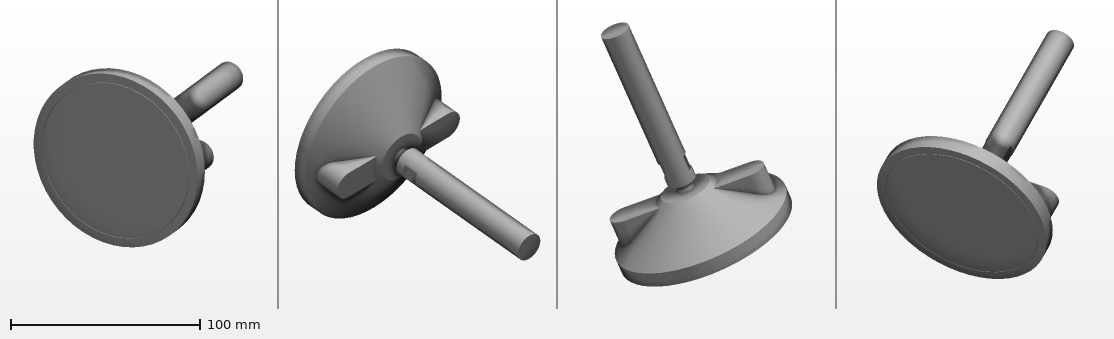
import cadquery as cq
import math


base_dia = 98.0
rim_height = 8.3
cone_top_dia = 28.1
cone_top_y = 30.0

groove_outer_dia = 88.0
groove_inner_dia = 87.5
groove_depth = 0.6

lug_width = 16.5
lug_span = 88.0
lug_top_y = 28.0

ball_dia = 12.5
ball_top_y = 31.5
neck_dia = 7.8
stem_dia = 16.0
stem_start_y = 35.0
stem_end_y = 130.0

flat_start_y = 40.0
flat_length = 9.6
across_flats = 13.0


def cylinder(diameter, start_y, end_y):
    """Cylinder about the Y axis between two Y levels."""
    disc = cq.Workplane("XZ", origin=(0, start_y, 0)).circle(diameter / 2)
    return disc.extrude(start_y - end_y)


def make_base():
    return (
        cq.Workplane("XY")
        .lineTo(base_dia / 2, 0)
        .lineTo(base_dia / 2, rim_height)
        .lineTo(cone_top_dia / 2, cone_top_y)
        .lineTo(0, cone_top_y)
        .close()
        .revolve(360, (0, 0, 0), (0, 1, 0))
    )


def make_lugs():
    """One round-ended bar across the base forms both lugs."""
    bar = cq.Workplane("XZ").slot2D(lug_span, lug_width)
    return bar.extrude(-lug_top_y)


def make_groove():
    ring = cq.Workplane("XZ").circle(groove_outer_dia / 2).circle(groove_inner_dia / 2)
    return ring.extrude(-groove_depth)


def make_ball():
    drop = math.sqrt((ball_dia / 2) ** 2 - (neck_dia / 2) ** 2)
    return cq.Workplane("XY").sphere(ball_dia / 2).translate((0, ball_top_y - drop, 0))


def make_stem():
    stem = cylinder(stem_dia, stem_start_y, stem_end_y)
    flat_y = flat_start_y + flat_length / 2
    for side in (-1, 1):
        cutter_x = side * (across_flats + stem_dia) / 2
        cutter = cq.Workplane("XY").box(stem_dia, flat_length, stem_dia)
        stem = stem.cut(cutter.translate((cutter_x, flat_y, 0)))
    return stem


neck = cylinder(neck_dia, cone_top_y, stem_start_y)
foot = make_base().union(make_lugs()).cut(make_groove())
result = foot.union(make_ball()).union(neck).union(make_stem())